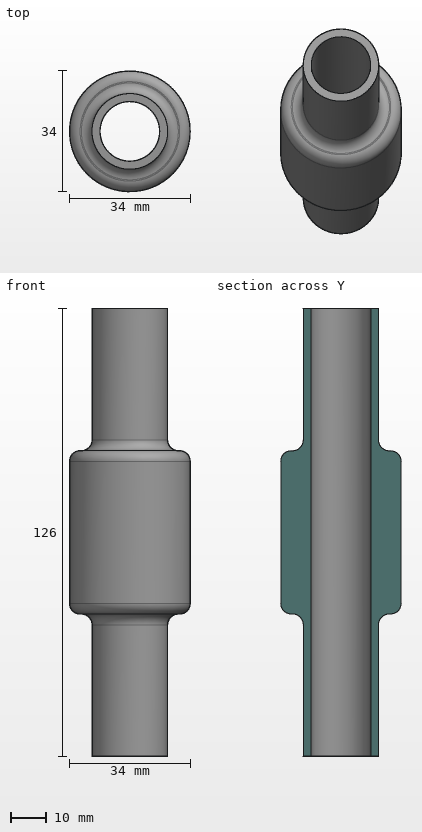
import cadquery as cq

TOTAL_LENGTH = 126.0
BODY_DIAMETER = 34.0
BODY_LENGTH = 46.0
TUBE_DIAMETER = 21.3
BORE_DIAMETER = 16.7
RIM_RADIUS = 3.0
NECK_RADIUS = 3.0


def centred_cylinder(diameter, length):
    """Cylinder along Z, centred on the origin."""
    return cq.Workplane("XY").cylinder(length, diameter / 2)


def make_blank():
    """Thick body with a thinner tube end on either side, all corners sharp."""
    body = centred_cylinder(BODY_DIAMETER, BODY_LENGTH)
    tube = centred_cylinder(TUBE_DIAMETER, TOTAL_LENGTH)
    return body.union(tube)


def blend_necks(blank):
    """Fillet the tube-sized circles at the body faces, leaving the outer tube ends sharp."""
    smallest_circles = cq.selectors.RadiusNthSelector(0)
    return blank.edges(smallest_circles).edges("not (<Z or >Z)").fillet(NECK_RADIUS)


def round_rims(part):
    """Round the two outer rims of the body."""
    largest_circles = cq.selectors.RadiusNthSelector(-1)
    return part.edges(largest_circles).fillet(RIM_RADIUS)


def cut_bore(part):
    """Straight bore through the full length."""
    return part.cut(centred_cylinder(BORE_DIAMETER, TOTAL_LENGTH))


blank = make_blank()
blended = round_rims(blend_necks(blank))
result = cut_bore(blended)